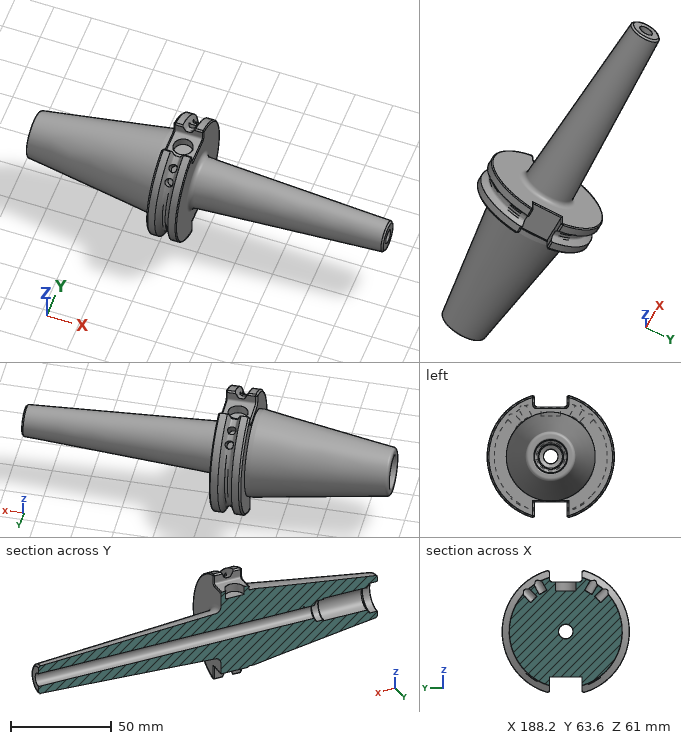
import cadquery as cq
import math

total_length = 188.2

gauge_x = 68.3
gauge_radius = 22.2
taper_slope = 7 / 48
back_radius = gauge_radius - gauge_x * taper_slope
back_rounding = 1.7

flange_start_x = 71.2
flange_end_x = 87.2
flange_radius = 31.8
back_edge_chamfer = 1.0
front_edge_chamfer = 0.5

groove_x = 79.3
groove_depth = 3.5
groove_floor_width = 1.5
groove_half_angle = 30.0
groove_blend_radius = 1.1
groove_floor_radius = flange_radius - groove_depth

slot_width = 16.2
top_slot_floor = 24.8
bottom_slot_floor = 22.8
slot_corner_radius = 1.1
slot_tip_chamfer = 1.0

pocket_diameter = 10.0
pocket_depth = 4.5

radial_hole_diameter = 4.1
radial_hole_depth = 5.6
radial_hole_angles = (30.0, 45.0)

nose_tip_radius = 8.1
nose_taper_angle = 3.0
nose_root_fillet = 2.8
nose_chamfer = 1.0

mouth_rounding = 0.8
counterbore_radius = 8.5
counterbore_end_x = 4.5
lead_in_radius = 8.1
thread_radius = 6.4
thread_start_x = 6.0
thread_end_x = 30.1
core_radius = 5.8
core_end_x = 33.9
through_radius = 3.5
drill_half_angle = 59.0


def revolve_about_x(outline):
    return outline.close().revolve(360, (0, 0, 0), (1, 0, 0))


def shank():
    body = revolve_about_x(
        cq.Workplane("XY")
        .lineTo(0, back_radius)
        .lineTo(gauge_x, gauge_radius)
        .lineTo(flange_start_x, gauge_radius)
        .lineTo(flange_start_x, 0)
    )
    return body.faces("<X").edges().fillet(back_rounding)


def slot(floor, side):
    """Cutter running right through the flange along X; side is +1 for the top and -1 for the bottom."""
    height = flange_radius
    flange_middle_x = (flange_start_x + flange_end_x) / 2
    return (
        cq.Workplane("XY")
        .box(total_length, slot_width, height)
        .translate((flange_middle_x, 0, side * (floor + height / 2)))
    )


def groove():
    """V-shaped ring with a flat floor blended into its flanks by arcs."""
    flank_angle = math.radians(groove_half_angle)
    blend_depth = groove_blend_radius * (1 - math.sin(flank_angle))
    floor_half = groove_floor_width / 2
    flank_half = floor_half + groove_blend_radius * math.cos(flank_angle)
    rim_half = flank_half + (groove_depth - blend_depth) * math.tan(flank_angle)
    flank_radius = groove_floor_radius + blend_depth
    clear_radius = flange_radius + groove_depth
    return revolve_about_x(
        cq.Workplane("XY")
        .moveTo(groove_x - floor_half, groove_floor_radius)
        .radiusArc((groove_x - flank_half, flank_radius), groove_blend_radius)
        .lineTo(groove_x - rim_half, flange_radius)
        .lineTo(groove_x - rim_half, clear_radius)
        .lineTo(groove_x + rim_half, clear_radius)
        .lineTo(groove_x + rim_half, flange_radius)
        .lineTo(groove_x + flank_half, flank_radius)
        .radiusArc((groove_x + floor_half, groove_floor_radius), groove_blend_radius)
    )


def radial_hole(angle):
    """Hole toward the axis, tilted from +Z toward +Y by angle."""
    return (
        cq.Workplane("XY")
        .circle(radial_hole_diameter / 2)
        .extrude(groove_depth + radial_hole_depth)
        .translate((groove_x, 0, groove_floor_radius - radial_hole_depth))
        .rotate((0, 0, 0), (1, 0, 0), -angle)
    )


def flange():
    top_slot = slot(top_slot_floor, 1).edges("|X and <Z").fillet(slot_corner_radius)
    bottom_slot = slot(bottom_slot_floor, -1)
    disc = (
        cq.Workplane("YZ", origin=(flange_start_x, 0, 0))
        .circle(flange_radius)
        .extrude(flange_end_x - flange_start_x)
        .cut(top_slot)
        .cut(bottom_slot)
    )
    tip_z = math.sqrt(flange_radius**2 - (slot_width / 2) ** 2)
    for side in (-1, 1):
        tips = cq.selectors.BoxSelector(
            (flange_start_x, -slot_width, side * tip_z - slot_tip_chamfer),
            (flange_end_x, slot_width, side * tip_z + slot_tip_chamfer),
        )
        disc = disc.edges("|X").edges(tips).chamfer(slot_tip_chamfer)
    disc = disc.faces("<X").edges().chamfer(back_edge_chamfer)
    disc = disc.faces(">X").edges().chamfer(front_edge_chamfer)
    disc = disc.cut(groove())
    for angle in radial_hole_angles:
        disc = disc.cut(radial_hole(angle)).cut(radial_hole(-angle))
    pocket = (
        cq.Workplane("XY", origin=(groove_x, 0, top_slot_floor))
        .circle(pocket_diameter / 2)
        .extrude(-pocket_depth)
    )
    return disc.cut(pocket)


def nose():
    slope = math.tan(math.radians(nose_taper_angle))
    root_radius = nose_tip_radius + (total_length - flange_end_x) * slope
    fillet_end_x = flange_end_x + nose_root_fillet
    fillet_end_radius = root_radius - nose_root_fillet * slope
    outline = (
        cq.Workplane("XY")
        .moveTo(flange_end_x, 0)
        .lineTo(flange_end_x, fillet_end_radius + nose_root_fillet)
        .radiusArc((fillet_end_x, fillet_end_radius), -nose_root_fillet)
        .lineTo(total_length, nose_tip_radius)
        .lineTo(total_length, 0)
    )
    return revolve_about_x(outline).faces(">X").edges().chamfer(nose_chamfer)


def bore():
    drill_run = (core_radius - through_radius) / math.tan(math.radians(drill_half_angle))
    return revolve_about_x(
        cq.Workplane("XY")
        .lineTo(0, counterbore_radius + mouth_rounding)
        .radiusArc((mouth_rounding, counterbore_radius), -mouth_rounding)
        .lineTo(counterbore_end_x, counterbore_radius)
        .lineTo(counterbore_end_x, lead_in_radius)
        .lineTo(thread_start_x, thread_radius)
        .lineTo(thread_end_x, thread_radius)
        .lineTo(thread_end_x, core_radius)
        .lineTo(core_end_x, core_radius)
        .lineTo(core_end_x + drill_run, through_radius)
        .lineTo(total_length, through_radius)
        .lineTo(total_length, 0)
    )


result = shank().union(flange()).union(nose()).cut(bore())